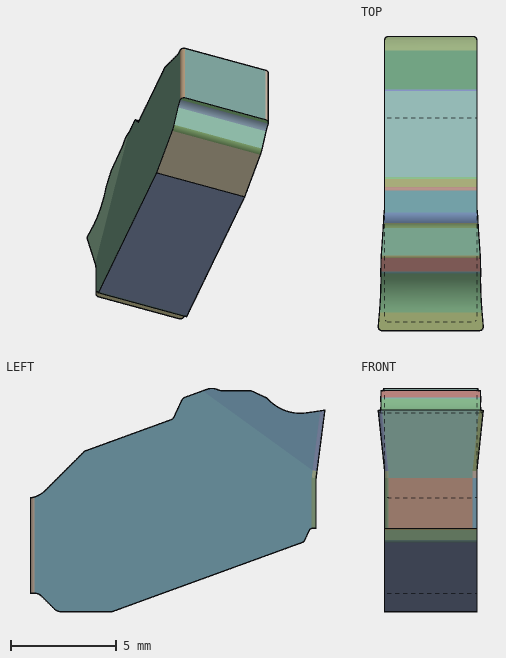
import cadquery as cq
import math


LENGTH = 14.0
BODY_WIDTH = 4.4
BLANK_WIDTH = 16.0

SEAT_SLOPE = math.tan(math.radians(20))
STEP_SLOPE = math.tan(math.radians(65))
BREAKER_SLOPE = math.tan(math.radians(25))

TIP_Z = 9.59
FRONT_WALL_Y = 0.42
RELIEF_BOTTOM_Z = 6.35
FRONT_WALL_BOTTOM_Z = 3.96

LAND_END = (0.87, 9.46)
BREAKER_TOP_Z = 10.51
BREAKER_FRONT_Y = 3.51
HOLLOW_TOP_Y = 2.755
HOLLOW_TOP_Z = BREAKER_TOP_Z - (BREAKER_FRONT_Y - HOLLOW_TOP_Y) * BREAKER_SLOPE
CREST = (5.35, 10.675)
CREST_FOOT_Y = CREST[0] - (CREST[1] - BREAKER_TOP_Z) / BREAKER_SLOPE

STEP_TOP_Y = 6.765
STEP_TOP_Z = CREST[1] - (STEP_TOP_Y - CREST[0]) * SEAT_SLOPE
STEP_FOOT_Y = 7.228
STEP_FOOT_Z = STEP_TOP_Z - (STEP_FOOT_Y - STEP_TOP_Y) * STEP_SLOPE
SEAT_END_Y = 11.426
SEAT_END_Z = STEP_FOOT_Z - (SEAT_END_Y - STEP_FOOT_Y) * SEAT_SLOPE

REAR_ARC_Y = 13.30
REAR_ARC_Z = SEAT_END_Z - (REAR_ARC_Y - SEAT_END_Y)
BACK_TOP_Z = 5.42
BACK_BOTTOM_Z = 0.88
BASE_REAR_Y = 12.73
REAR_NOTCH_Y = BASE_REAR_Y + BACK_BOTTOM_Z

BASE_FRONT_Y = 10.12
LOWER_SEAT_END_Y = 1.0
LOWER_SEAT_END_Z = (BASE_FRONT_Y - LOWER_SEAT_END_Y) * SEAT_SLOPE
FRONT_NOTCH_Y = LOWER_SEAT_END_Y - (FRONT_WALL_BOTTOM_Z - LOWER_SEAT_END_Z) / STEP_SLOPE

CORNER_FILLETS = [
    ((HOLLOW_TOP_Y, HOLLOW_TOP_Z), 0.25),
    ((BREAKER_FRONT_Y, BREAKER_TOP_Z), 0.25),
    ((CREST_FOOT_Y, BREAKER_TOP_Z), 0.5),
    (CREST, 0.65),
    ((STEP_TOP_Y, STEP_TOP_Z), 0.3),
    ((STEP_FOOT_Y, STEP_FOOT_Z), 0.2),
    ((SEAT_END_Y, SEAT_END_Z), 0.15),
    ((REAR_NOTCH_Y, BACK_BOTTOM_Z), 0.5),
    ((BASE_REAR_Y, 0), 0.4),
    ((LOWER_SEAT_END_Y, LOWER_SEAT_END_Z), 0.2),
    ((FRONT_NOTCH_Y, FRONT_WALL_BOTTOM_Z), 0.15),
]

FLARE_LINE_REAR = (5.835, 10.51)
FLARE_LINE_FRONT = (0.56, 6.69)
FLARE_ANGLE = math.radians(6.8)
CUTTER_REACH = 2 * LENGTH

UPRIGHT_EDGE_RADIUS = 0.2
SELECT_MARGIN = 0.05


def make_blank():
    """Extrude the sharp-cornered outline across a width larger than the part."""
    outline = (
        cq.Workplane("YZ")
        .moveTo(FRONT_WALL_Y, FRONT_WALL_BOTTOM_Z)
        .lineTo(FRONT_WALL_Y, RELIEF_BOTTOM_Z)
        .lineTo(0, TIP_Z)
        .lineTo(*LAND_END)
        .tangentArcPoint((HOLLOW_TOP_Y, HOLLOW_TOP_Z), relative=False)
        .lineTo(BREAKER_FRONT_Y, BREAKER_TOP_Z)
        .lineTo(CREST_FOOT_Y, BREAKER_TOP_Z)
        .lineTo(*CREST)
        .lineTo(STEP_TOP_Y, STEP_TOP_Z)
        .lineTo(STEP_FOOT_Y, STEP_FOOT_Z)
        .lineTo(SEAT_END_Y, SEAT_END_Z)
        .lineTo(REAR_ARC_Y, REAR_ARC_Z)
        .tangentArcPoint((LENGTH, BACK_TOP_Z), relative=False)
        .lineTo(LENGTH, BACK_BOTTOM_Z)
        .lineTo(REAR_NOTCH_Y, BACK_BOTTOM_Z)
        .lineTo(BASE_REAR_Y, 0)
        .lineTo(BASE_FRONT_Y, 0)
        .lineTo(LOWER_SEAT_END_Y, LOWER_SEAT_END_Z)
        .lineTo(FRONT_NOTCH_Y, FRONT_WALL_BOTTOM_Z)
        .close()
    )
    return outline.extrude(BLANK_WIDTH / 2, both=True)


def round_outline_corners(blank):
    """Fillet the cross-wise edge at each listed corner of the outline."""
    for (y, z), radius in CORNER_FILLETS:
        corner = cq.selectors.NearestToPointSelector((0, y, z))
        blank = blank.edges("|X").edges(corner).fillet(radius)
    return blank


def make_side_cutter():
    """Stock to remove on the +X side: straight below the fold line, tilted above it."""
    along_y = FLARE_LINE_REAR[0] - FLARE_LINE_FRONT[0]
    along_z = FLARE_LINE_REAR[1] - FLARE_LINE_FRONT[1]
    fold_plane = cq.Plane(
        origin=(0, *FLARE_LINE_FRONT),
        xDir=(1, 0, 0),
        normal=(0, -along_y, -along_z),
    )
    wall_x = BODY_WIDTH / 2
    flared_x = wall_x + CUTTER_REACH * math.tan(FLARE_ANGLE)
    section = [
        (wall_x, -CUTTER_REACH),
        (wall_x, 0),
        (flared_x, CUTTER_REACH),
        (BLANK_WIDTH, CUTTER_REACH),
        (BLANK_WIDTH, -CUTTER_REACH),
    ]
    return cq.Workplane(fold_plane).polyline(section).close().extrude(2 * CUTTER_REACH, both=True)


def trim_sides(blank):
    """Cut the blank to its straight and flared side walls."""
    cutter = make_side_cutter()
    return blank.cut(cutter).cut(cutter.mirror("YZ"))


def round_back_edges(part):
    """Fillet the two upright edges of the back wall."""
    return part.faces(">Y").edges("|Z").fillet(UPRIGHT_EDGE_RADIUS)


def round_front_edges(part):
    """Fillet the upright edges on both sides of the front wall and the relief face above it."""
    front_zone = cq.selectors.BoxSelector(
        (-BLANK_WIDTH, -SELECT_MARGIN, FRONT_WALL_BOTTOM_Z),
        (BLANK_WIDTH, FRONT_WALL_Y + SELECT_MARGIN, LAND_END[1]),
    )
    return part.edges(front_zone).edges("not |X").fillet(UPRIGHT_EDGE_RADIUS)


result = round_outline_corners(make_blank())
result = trim_sides(result)
result = round_back_edges(result)
result = round_front_edges(result)